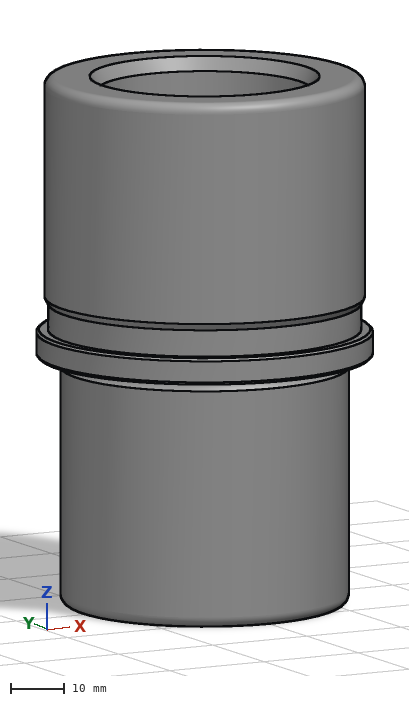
import cadquery as cq
import math

total_height = 100.0
bore_radius = 20.0

head_radius = 30.0
head_bottom = 58.3
end_rounding = 2.0

groove_radius = 29.3
groove_taper_height = 1.3

collar_radius = 31.5
collar_bottom = 47.0
collar_thickness = 5.0
collar_chamfer = 0.5

shank_radius = 27.0
neck_radius = 26.2
neck_height = 2.0

lead_in_width = 1.5
lead_in_depth = 2.6

collar_middle = collar_bottom + collar_thickness / 2


def make_cylinder(radius, bottom, top):
    """Upright cylinder on the Z axis between two heights."""
    return cq.Workplane("XY").workplane(offset=bottom).circle(radius).extrude(top - bottom)


def make_cone(bottom_radius, top_radius, bottom, height):
    """Upright truncated cone on the Z axis."""
    return cq.Workplane(
        cq.Solid.makeCone(bottom_radius, top_radius, height, cq.Vector(0, 0, bottom))
    )


def make_head():
    """Head with a rounded top edge, tapering down into the groove."""
    barrel = make_cylinder(head_radius, head_bottom, total_height)
    barrel = barrel.faces(">Z").edges().fillet(end_rounding)
    taper_bottom = head_bottom - groove_taper_height
    taper = make_cone(groove_radius, head_radius, taper_bottom, groove_taper_height)
    groove = make_cylinder(groove_radius, collar_middle, taper_bottom)
    return barrel.union(taper).union(groove)


def make_collar():
    """Collar with both rims chamfered."""
    collar = make_cylinder(collar_radius, collar_bottom, collar_bottom + collar_thickness)
    return collar.edges().chamfer(collar_chamfer)


def make_shank():
    """Shank with a rounded bottom edge, hollowed by an arc into the neck under the collar."""
    shank = make_cylinder(shank_radius, 0, collar_middle)
    shank = shank.faces("<Z").edges().fillet(end_rounding)
    return shank.cut(make_neck_groove())


def make_neck_groove():
    """Ring whose inner wall is vertical at the collar and curves outward to the shank surface."""
    depth = shank_radius - neck_radius
    arc_radius = (neck_height**2 + depth**2) / (2 * depth)
    half_sweep = math.asin(neck_height / arc_radius) / 2
    arc_middle = (
        neck_radius + arc_radius * (1 - math.cos(half_sweep)),
        collar_bottom - arc_radius * math.sin(half_sweep),
    )
    return (
        cq.Workplane("XZ")
        .moveTo(shank_radius, collar_bottom)
        .lineTo(neck_radius, collar_bottom)
        .threePointArc(arc_middle, (shank_radius, collar_bottom - neck_height))
        .close()
        .revolve(360, (0, 0), (0, 1))
    )


def make_bore():
    """Through bore with a conical lead-in at the top."""
    bore = make_cylinder(bore_radius, 0, total_height)
    lead_in_bottom = total_height - lead_in_depth
    lead_in = make_cone(bore_radius, bore_radius + lead_in_width, lead_in_bottom, lead_in_depth)
    return bore.union(lead_in)


result = make_collar().union(make_head()).union(make_shank()).cut(make_bore())